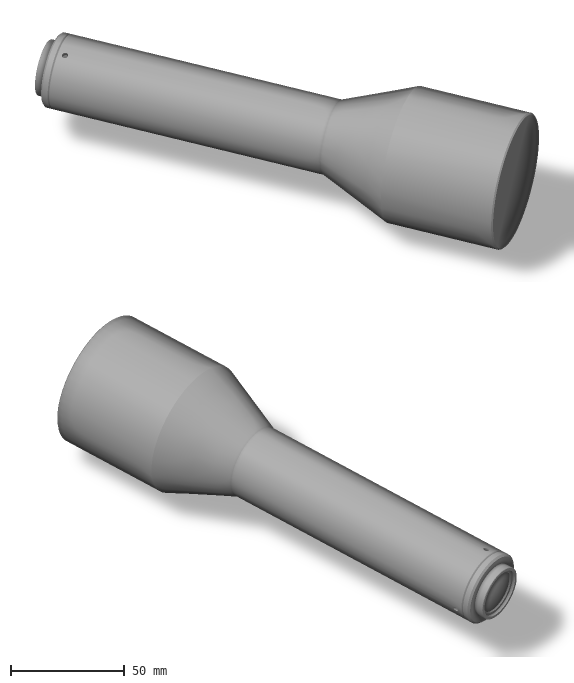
import cadquery as cq
import math

total_length = 219.8
nose_length = 4.2
groove_start = 7.5
groove_width = 0.9
cone_start = 134.5
cone_end = 167.7
screw_position = 11.6

nose_radius = 12.7
barrel_radius = 17.04
head_radius = 31.0
bore_radius = 11.2
lens_radius = 10.0

nose_chamfer = 0.2
collar_chamfer = 0.9
head_chamfer = 0.7
groove_depth = 0.5
bore_depth = 1.3
lens_seat_depth = 2.2
lens_bulge = 1.0
screw_hole_diameter = 2.6
screw_hole_depth = 2.2
screw_count = 3
screw_tilt = 20.0


def make_body():
    """Revolve the nose, grooved collar, barrel, flare and head."""
    groove_end = groove_start + groove_width
    groove_floor = barrel_radius - groove_depth
    half_profile = [
        (0, 0),
        (0, nose_radius - nose_chamfer),
        (nose_chamfer, nose_radius),
        (nose_length, nose_radius),
        (nose_length, barrel_radius - collar_chamfer),
        (nose_length + collar_chamfer, barrel_radius),
        (groove_start, barrel_radius),
        (groove_start + groove_width / 2, groove_floor),
        (groove_end, barrel_radius),
        (cone_start, barrel_radius),
        (cone_end, head_radius),
        (total_length - head_chamfer, head_radius),
        (total_length, head_radius - head_chamfer),
        (total_length, 0),
    ]
    return cq.Workplane("XY").polyline(half_profile).close().revolve(360, (0, 0), (1, 0))


def make_lens_recess():
    """Stepped recess in the nose whose floor is a shallow convex lens."""
    lens_center_depth = lens_seat_depth - lens_bulge
    sphere_radius = (lens_radius**2 + lens_bulge**2) / (2 * lens_bulge)
    mid_angle = math.asin(lens_radius / sphere_radius) / 2
    arc_middle = (
        lens_center_depth + sphere_radius * (1 - math.cos(mid_angle)),
        sphere_radius * math.sin(mid_angle),
    )
    return (
        cq.Workplane("XY")
        .lineTo(0, bore_radius)
        .lineTo(bore_depth, bore_radius)
        .lineTo(bore_depth, lens_radius)
        .lineTo(lens_seat_depth, lens_radius)
        .threePointArc(arc_middle, (lens_center_depth, 0))
        .close()
        .revolve(360, (0, 0), (1, 0))
    )


def make_screw_hole(angle):
    """Radial blind hole in the barrel, turned about the X axis."""
    floor_radius = barrel_radius - screw_hole_depth
    return (
        cq.Workplane("XY", origin=(screw_position, 0, floor_radius))
        .circle(screw_hole_diameter / 2)
        .extrude(2 * screw_hole_depth)
        .rotate((0, 0, 0), (1, 0, 0), angle)
    )


result = make_body().cut(make_lens_recess())
for index in range(screw_count):
    result = result.cut(make_screw_hole(screw_tilt + index * 360 / screw_count))